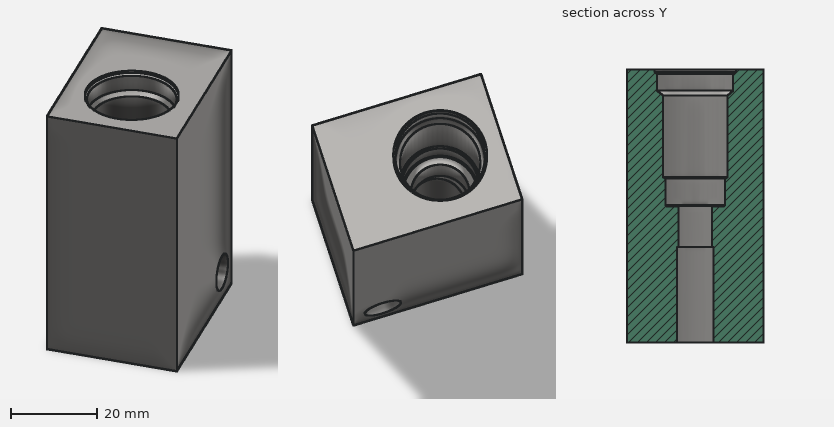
import cadquery as cq
import math

width = 31.75
depth = 41.15
height = 63.5

cavity_x = width / 2
cavity_y = 15.0
rim_radius = 10.9
rim_depth = 0.6
seat_radius = 10.4
seat_depth = 4.95
bore_radius = 9.35
neck_radius = 8.9
neck_depth = 25.4
nose_radius = 8.65
floor_depth = 31.75

pilot_radius = 6.8
pilot_depth = 41.3
drill_point_angle = 118.0

outlet_radius = 6.4
outlet_offset = 0.7

cross_hole_radius = 4.4
cross_hole_edge_distance = 7.2


def stepped_cavity():
    """Revolved cavity whose diameters are joined by 45 degree shoulders."""
    rim_shoulder_end = rim_depth + rim_radius - seat_radius
    seat_shoulder_end = seat_depth + seat_radius - bore_radius
    neck_shoulder_start = neck_depth - (bore_radius - neck_radius)
    nose_shoulder_start = floor_depth - (neck_radius - nose_radius)
    steps = [
        (0, 0),
        (rim_radius, 0),
        (rim_radius, rim_depth),
        (seat_radius, rim_shoulder_end),
        (seat_radius, seat_depth),
        (bore_radius, seat_shoulder_end),
        (bore_radius, neck_shoulder_start),
        (neck_radius, neck_depth),
        (neck_radius, nose_shoulder_start),
        (nose_radius, floor_depth),
        (0, floor_depth),
    ]
    profile = [(radius, -step_depth) for radius, step_depth in steps]
    cavity = cq.Workplane("XZ").polyline(profile).close().revolve(360, (0, 0), (0, 1))
    return cavity.translate((cavity_x, cavity_y, height))


def drilled_pilot():
    """Revolved drill hole continuing the cavity, with its pointed end."""
    point_length = pilot_radius / math.tan(math.radians(drill_point_angle / 2))
    profile = [
        (0, -floor_depth),
        (pilot_radius, -floor_depth),
        (pilot_radius, -pilot_depth),
        (0, -pilot_depth - point_length),
    ]
    pilot = cq.Workplane("XZ").polyline(profile).close().revolve(360, (0, 0), (0, 1))
    return pilot.translate((cavity_x, cavity_y, height))


def offset_outlet():
    """Vertical hole from the underside up to the start of the drill point."""
    return (
        cq.Workplane("XY")
        .center(cavity_x, cavity_y + outlet_offset)
        .circle(outlet_radius)
        .extrude(height - pilot_depth)
    )


def cross_hole():
    """Hole through the full width, near the lower +Y edge."""
    return (
        cq.Workplane("YZ")
        .center(depth - cross_hole_edge_distance, cross_hole_edge_distance)
        .circle(cross_hole_radius)
        .extrude(width)
    )


block = cq.Workplane("XY").box(width, depth, height, centered=False)
block = block.cut(stepped_cavity()).cut(drilled_pilot())
result = block.cut(offset_outlet()).cut(cross_hole())